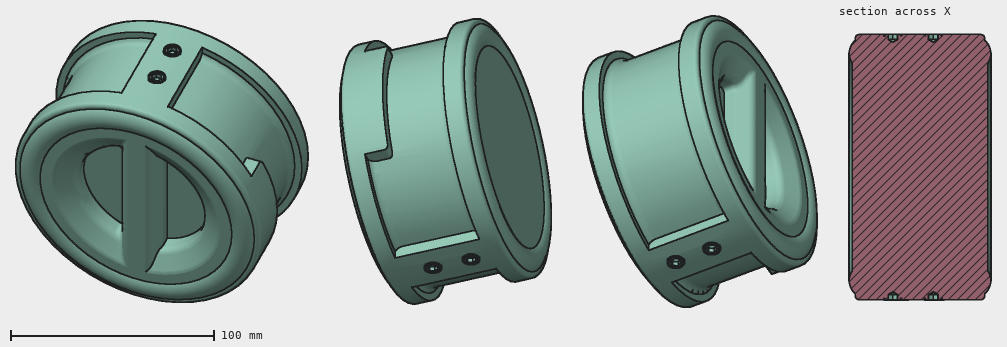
import cadquery as cq
import math


flange_radius = 65.5
flange_inner_y = 22.0
flange_face_y = 32.0
flange_edge_fillet = 2.1
waist_radius = 59.3
waist_fillet_width = 3.9
waist_fillet_height = 2.4
groove_outer_radius = 68.1

half_length = 35.0
bead_outer_radius = 62.5
bead_crown_radius = 56.1
bead_inner_radius = 51.1
disc_face_y = 33.4

pad_width = 24.6
lug_height = 65.0
lug_end_y = -9.7
lug_end_fillet = 2.1

pocket_rim_radius = 44.9
pocket_throat_radius = 33.7
pocket_floor_y = -19.1
pocket_edge_radius = 4.2
rim_break_angle = 5.0
ring_slope = 30.0
bar_half_width = 4.6
bar_root_half_width = 10.7
bar_slope = 66.0
left_corner_fillet = 2.6
corner_min_z = 26.2
corner_margin = 0.1

screw_y_positions = (13.4, -6.5)
screw_hole_radius = 4.3
screw_chamfer = 0.9
socket_corner_diameter = 5.2
socket_depth = 2.6
socket_tip_depth = 1.3


def make_drum():
    """Full-radius drum with rounded flange edges and a sealing bead on each end."""
    edge = flange_edge_fillet
    drum = (
        cq.Workplane("XY")
        .moveTo(0, -disc_face_y)
        .lineTo(bead_inner_radius, -disc_face_y)
        .threePointArc((bead_crown_radius, -half_length), (bead_outer_radius, -flange_face_y))
        .lineTo(flange_radius - edge, -flange_face_y)
        .tangentArcPoint((flange_radius, edge - flange_face_y), relative=False)
        .lineTo(flange_radius, flange_face_y - edge)
        .tangentArcPoint((flange_radius - edge, flange_face_y), relative=False)
        .lineTo(bead_outer_radius, flange_face_y)
        .threePointArc((bead_crown_radius, half_length), (bead_inner_radius, disc_face_y))
        .lineTo(0, disc_face_y)
        .close()
    )
    return drum.revolve(360, (0, 0, 0), (0, 1, 0))


def make_waist_groove():
    """Ring cut that leaves the waist, with a fillet towards each flange."""
    fillet_top = waist_radius + waist_fillet_height
    fillet_radius = (waist_fillet_width**2 + waist_fillet_height**2) / (2 * waist_fillet_height)
    straight_y = flange_inner_y - waist_fillet_width
    groove = (
        cq.Workplane("XY")
        .moveTo(fillet_top, flange_inner_y)
        .radiusArc((waist_radius, straight_y), -fillet_radius)
        .lineTo(waist_radius, -straight_y)
        .radiusArc((fillet_top, -flange_inner_y), -fillet_radius)
        .lineTo(groove_outer_radius, -flange_inner_y)
        .lineTo(groove_outer_radius, flange_inner_y)
        .close()
    )
    return groove.revolve(360, (0, 0, 0), (0, 1, 0))


def make_pads():
    """Slab through the body whose ends become the top and bottom pads."""
    return cq.Workplane("XY").box(pad_width, 2 * flange_inner_y, 2 * groove_outer_radius)


def make_lug():
    """Slab on the +X side whose end becomes the lug growing out of the front flange."""
    slab = cq.Workplane("XY", origin=(0, -flange_inner_y, 0)).box(
        groove_outer_radius, lug_end_y + flange_inner_y, lug_height, centered=(False, False, True)
    )
    return slab.edges("|X and >Y").fillet(lug_end_fillet)


def pocket_wall(rim, root, slope, far_side):
    """Pocket section in XY, bounded by the wall from rim to root and by the line x = far_side.

    From the disc face the wall rounds over into a straight slope, then rounds over
    again into a straight drop to the floor.
    """
    inward = math.copysign(1, root - rim)
    radius = pocket_edge_radius
    start = math.radians(rim_break_angle)
    steep = math.radians(slope)
    plumb = math.radians(90)
    rim_centre_x = rim - inward * radius * math.sin(start)
    rim_centre_y = radius * math.cos(start) - disc_face_y
    root_centre_x = root - inward * radius
    root_centre_y = rim_centre_y + abs(root_centre_x - rim_centre_x) * math.tan(steep)

    def on_rim_arc(turn):
        return (rim_centre_x + inward * radius * math.sin(turn), rim_centre_y - radius * math.cos(turn))

    def on_root_arc(turn):
        return (root_centre_x + inward * radius * math.sin(turn), root_centre_y - radius * math.cos(turn))

    return (
        cq.Workplane("XY")
        .moveTo(far_side, -disc_face_y)
        .lineTo(rim, -disc_face_y)
        .threePointArc(on_rim_arc((start + steep) / 2), on_rim_arc(steep))
        .lineTo(*on_root_arc(steep))
        .threePointArc(on_root_arc((steep + plumb) / 2), on_root_arc(plumb))
        .lineTo(root, pocket_floor_y)
        .lineTo(far_side, pocket_floor_y)
        .close()
    )


def make_right_pocket():
    """Funnel-shaped pocket, limited on its inner side by the wall of the centre bar."""
    ring = pocket_wall(pocket_rim_radius, pocket_throat_radius, ring_slope, 0)
    bar_side = pocket_wall(bar_half_width, bar_root_half_width, bar_slope, flange_radius)
    funnel = ring.revolve(360, (0, 0, 0), (0, 1, 0))
    return funnel.intersect(bar_side.extrude(flange_radius, both=True))


def round_left_corners(pocket):
    """Fillet the seams where the ring wall of the left pocket runs into the bar wall."""
    seams = [
        edge for edge in pocket.edges().vals()
        if abs(edge.Center().z) > corner_min_z
        and -bar_root_half_width - corner_margin < edge.Center().x < -bar_half_width
        and -disc_face_y < edge.Center().y < pocket_floor_y - corner_margin
    ]
    return pocket.newObject(seams).fillet(left_corner_fillet)


def make_screw_cut(y):
    """Chamfer ring and hexagon socket of a grub screw in the top pad."""
    ring = (
        cq.Workplane("XZ", origin=(0, y, 0))
        .moveTo(screw_hole_radius, flange_radius)
        .lineTo(screw_hole_radius, flange_radius - screw_chamfer)
        .lineTo(screw_hole_radius - screw_chamfer, flange_radius)
        .close()
        .revolve(360, (0, 0, 0), (0, 1, 0))
    )
    socket = (
        cq.Workplane("XY", origin=(0, y, flange_radius))
        .polygon(6, socket_corner_diameter)
        .extrude(-socket_depth)
    )
    tip_radius = socket_corner_diameter / 2 * math.cos(math.pi / 6)
    tip_base = cq.Vector(0, y, flange_radius - socket_depth)
    tip = cq.Solid.makeCone(tip_radius, 0, socket_tip_depth, tip_base, cq.Vector(0, 0, -1))
    return ring.union(socket).union(cq.Workplane(tip))


waist_groove = make_waist_groove().cut(make_pads()).cut(make_lug())
result = make_drum().cut(waist_groove)

right_pocket = make_right_pocket()
left_pocket = round_left_corners(right_pocket.mirror("YZ"))
result = result.cut(right_pocket).cut(left_pocket)

for screw_y in screw_y_positions:
    screw_cut = make_screw_cut(screw_y)
    result = result.cut(screw_cut).cut(screw_cut.mirror("XY"))